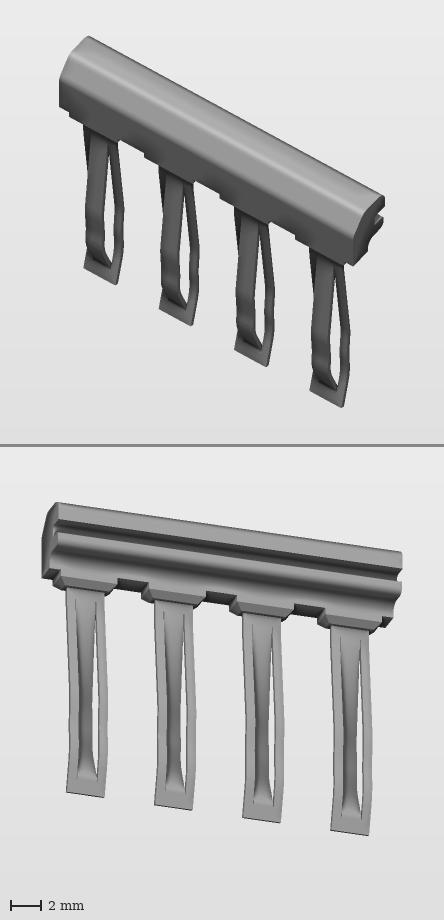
import cadquery as cq
import math


rail_length = 24.2
rail_depth = 3.61
rail_height = 4.3
leg_depth = 1.7
front_y = -leg_depth / 2
leg_back_y = leg_depth / 2
back_y = front_y + rail_depth
front_chamfer_height = 1.4
front_chamfer_depth = 1.19
rail_radius = 0.8

groove_top_z = -1.54
groove_bottom_z = -2.36
groove_floor_y = front_y + 2.4
groove_top_radius = 0.3
groove_bottom_radius = 0.12
lip_back_y = front_y + 3.45
lip_bottom_z = -3.3
lip_top_radius = 0.2
lip_bottom_radius = 0.45
throat_radius = 0.65

pin_count = 4
pin_pitch = 6.2
seat_width = 4.0
seat_height = 0.88
seat_chamfer = 0.43
seat_bottom_z = -rail_height - seat_height

strip_width = 2.64
strip_thickness = 0.3
window_width = 1.46
window_top_z = -5.95
window_bottom_z = -19.25
tongue_width = 1.36
bend_radius = 5.0
tongue_knee_radius = 3.2
tongue_foot_radius = 0.5

strip_tip = (0.0, -20.174)
strip_heel = (0.71, -17.4)
strip_bends = [(0.0, -6.39), (0.745, -13.37), (0.6, -15.42), strip_heel]

tongue_foot_z = -19.05
tongue_end_z = -19.4
tongue_bends = [(0.0, -6.23), (-0.71, -13.18), (-0.58, -15.2), (-0.66, -16.72)]


def rail():
    """Hook-shaped bar, extruded along X."""
    corners = [
        (front_y, -rail_height, 0),
        (front_y, -front_chamfer_height, rail_radius),
        (front_y + front_chamfer_depth, 0, rail_radius),
        (back_y, 0, rail_radius),
        (back_y, groove_top_z, 0),
        (groove_floor_y, groove_top_z, groove_top_radius),
        (groove_floor_y, groove_bottom_z, groove_bottom_radius),
        (lip_back_y, groove_bottom_z, lip_top_radius),
        (lip_back_y, lip_bottom_z, lip_bottom_radius),
        (leg_back_y, lip_bottom_z, throat_radius),
        (leg_back_y, -rail_height, 0),
    ]
    outline = [(y, z) for y, z, _ in corners]
    bar = cq.Workplane("YZ").polyline(outline).close().extrude(rail_length / 2, both=True)
    for y, z, radius in corners:
        if radius > 0:
            edge_at_corner = cq.selectors.NearestToPointSelector((0, y, z))
            bar = bar.edges("|X").edges(edge_at_corner).fillet(radius)
    return bar


def seat():
    """Block under the rail, chamfered around its bottom."""
    base = cq.Workplane("XY").workplane(offset=seat_bottom_z)
    block = base.rect(seat_width, leg_depth).extrude(seat_height)
    return block.faces("<Z").edges().chamfer(seat_chamfer)


def step_towards(start, target, distance):
    """Point at the given distance from start on the line to target."""
    ratio = distance / math.dist(start, target)
    return tuple(s + ratio * (t - s) for s, t in zip(start, target))


def bent_path(points, radii):
    """Path in the YZ plane whose inner corners are rounded by the given radii."""
    path = cq.Workplane("YZ").moveTo(*points[0])
    for before, corner, after, radius in zip(points, points[1:], points[2:], radii):
        angle_in = math.atan2(corner[1] - before[1], corner[0] - before[0])
        angle_out = math.atan2(after[1] - corner[1], after[0] - corner[0])
        tangent_length = radius * math.tan(abs(angle_out - angle_in) / 2)
        path = path.lineTo(*step_towards(corner, before, tangent_length))
        path = path.tangentArcPoint(step_towards(corner, after, tangent_length), relative=False)
    return path.lineTo(*points[-1])


def bent_sheet(points, radii, width):
    """Sheet of strip thickness following the bent path; the path starts downward at points[0]."""
    section = cq.Workplane("XY").workplane(offset=points[0][1]).rect(width, strip_thickness)
    return section.sweep(bent_path(points, radii))


def on_strip_tail(z):
    """Centreline point at height z on the strip's straight lower end."""
    ratio = (z - strip_heel[1]) / (strip_tip[1] - strip_heel[1])
    return (strip_heel[0] + ratio * (strip_tip[0] - strip_heel[0]), z)


def spring_pin():
    """Bent strip with its window cut out and the tongue joined at both ends of the window."""
    strip_points = [(0.0, seat_bottom_z), *strip_bends, strip_tip]
    strip = bent_sheet(strip_points, [bend_radius] * len(strip_bends), strip_width)

    window_height = window_top_z - window_bottom_z
    window = cq.Workplane("XY").workplane(offset=window_bottom_z)
    window = window.rect(window_width, rail_depth).extrude(window_height)

    foot = on_strip_tail(tongue_foot_z)
    tongue_points = [(0.0, window_top_z), *tongue_bends, foot, on_strip_tail(tongue_end_z)]
    plain_bends = len(tongue_bends) - 1
    tongue_radii = [bend_radius] * plain_bends + [tongue_knee_radius, tongue_foot_radius]
    tongue = bent_sheet(tongue_points, tongue_radii, tongue_width)
    return strip.cut(window).union(tongue)


result = rail()
pin = seat().union(spring_pin())
for index in range(pin_count):
    pin_x = (index - (pin_count - 1) / 2) * pin_pitch
    result = result.union(pin.translate((pin_x, 0, 0)))